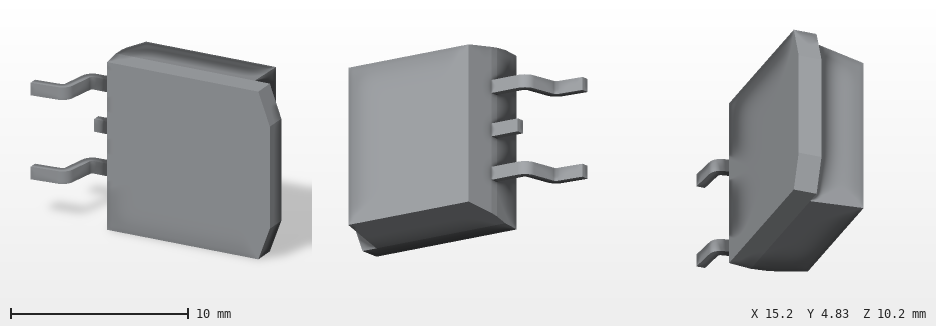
import cadquery as cq
import math

LENGTH = 15.24
DEPTH = 4.83
HALF_HEIGHT = 10.17 / 2

HOUSING_LEFT = 4.55
HOUSING_FRONT_LEFT = 4.88
HOUSING_BACK_LEFT = 4.8
HOUSING_RIGHT = 13.55
HOUSING_BACK_RIGHT = 13.08
HOUSING_BACK_HALF_HEIGHT = HALF_HEIGHT - 0.47

TAB_THICKNESS = 1.39
TAB_PAD_LEFT = 8.65
TAB_PAD_HALF_HEIGHT = 3.1
TAB_CHAMFER_START = 14.51

LEAD_THICKNESS = 0.52
LEAD_WIDTH = 0.76
LEAD_PITCH = 2.55
LEAD_BACK = 2.94
LEAD_FRONT = LEAD_BACK - LEAD_THICKNESS
STUB_LEFT = 2.76
LEAD_CORNER_X = 2.16
RISER_TILT = math.radians(10)
FOOT_TILT = math.radians(4)
INNER_BEND_RADIUS = 0.18
OUTER_BEND_RADIUS = INNER_BEND_RADIUS + LEAD_THICKNESS


def extrude_symmetric(outline, height):
    """Extrude a closed XY outline equally above and below Z = 0."""
    return cq.Workplane("XY").polyline(outline).close().extrude(height / 2, both=True)


def make_tab():
    """T-shaped plate: a narrow pad under the housing and a wide chamfered end."""
    upper_half = [
        (TAB_PAD_LEFT, TAB_PAD_HALF_HEIGHT),
        (HOUSING_RIGHT, TAB_PAD_HALF_HEIGHT),
        (HOUSING_RIGHT, HALF_HEIGHT),
        (TAB_CHAMFER_START, HALF_HEIGHT),
        (LENGTH, TAB_PAD_HALF_HEIGHT),
    ]
    lower_half = [(x, -z) for x, z in reversed(upper_half)]
    return cq.Workplane("XZ").polyline(upper_half + lower_half).close().extrude(-TAB_THICKNESS)


def make_housing(tab):
    """Tapered block with a recess that fits the tab."""
    block = extrude_symmetric([
        (HOUSING_FRONT_LEFT, 0),
        (HOUSING_RIGHT, 0),
        (HOUSING_RIGHT, TAB_THICKNESS),
        (HOUSING_BACK_RIGHT, DEPTH),
        (HOUSING_BACK_LEFT, DEPTH),
        (HOUSING_LEFT, LEAD_BACK),
        (HOUSING_LEFT, LEAD_FRONT),
    ], 2 * HALF_HEIGHT)

    upper_half = [
        (0, HALF_HEIGHT),
        (TAB_THICKNESS, HALF_HEIGHT),
        (DEPTH, HOUSING_BACK_HALF_HEIGHT),
    ]
    lower_half = [(y, -z) for y, z in reversed(upper_half)]
    envelope = cq.Workplane("YZ").polyline(upper_half + lower_half).close().extrude(LENGTH)
    return block.intersect(envelope).cut(tab)


def foot_corner(tip_y, riser_x, riser_y):
    """Point where a foot line from (0, tip_y) meets a riser line through (riser_x, riser_y)."""
    riser_slope = math.tan(RISER_TILT)
    foot_slope = math.tan(FOOT_TILT)
    x = (riser_x - (riser_y - tip_y) * riser_slope) / (1 - foot_slope * riser_slope)
    return x, tip_y + x * foot_slope


def make_bent_lead(center_z):
    """Lead with a straight length, a leaning riser and a slightly tilted foot."""
    inner_corner_x = LEAD_CORNER_X + LEAD_THICKNESS * (1 / math.cos(RISER_TILT) - math.tan(RISER_TILT))
    tip_thickness = LEAD_THICKNESS / math.cos(FOOT_TILT)
    upper_outer = (LEAD_CORNER_X, LEAD_BACK)
    upper_inner = (inner_corner_x, LEAD_FRONT)
    lower_inner = foot_corner(tip_thickness, *upper_outer)
    lower_outer = foot_corner(0, *upper_inner)
    lead = extrude_symmetric([
        (0, 0),
        lower_outer,
        upper_inner,
        (HOUSING_LEFT, LEAD_FRONT),
        (HOUSING_LEFT, LEAD_BACK),
        upper_outer,
        lower_inner,
        (0, tip_thickness),
    ], LEAD_WIDTH)

    for corner, radius in [
        (upper_outer, OUTER_BEND_RADIUS),
        (upper_inner, INNER_BEND_RADIUS),
        (lower_inner, INNER_BEND_RADIUS),
        (lower_outer, OUTER_BEND_RADIUS),
    ]:
        bend_edge = cq.selectors.NearestToPointSelector((*corner, 0))
        lead = lead.edges("|Z").edges(bend_edge).fillet(radius)
    return lead.translate((0, 0, center_z))


def make_stub_lead():
    """Short straight centre lead."""
    return extrude_symmetric([
        (STUB_LEFT, LEAD_FRONT),
        (HOUSING_LEFT, LEAD_FRONT),
        (HOUSING_LEFT, LEAD_BACK),
        (STUB_LEFT, LEAD_BACK),
    ], LEAD_WIDTH)


tab = make_tab()
housing = make_housing(tab)
stub_lead = make_stub_lead()
bent_leads = [make_bent_lead(side * LEAD_PITCH) for side in (-1, 1)]

result = cq.Compound.makeCompound([
    housing.solids().val(),
    tab.val(),
    stub_lead.solids().val(),
    *[lead.solids().val() for lead in bent_leads],
])